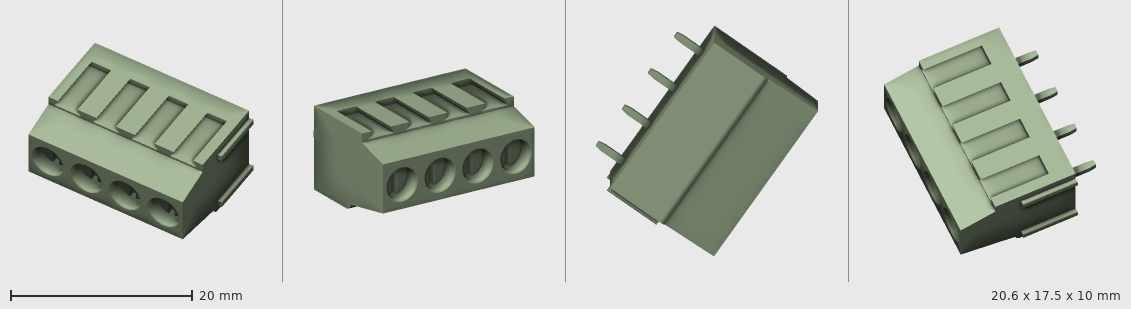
import cadquery as cq
import math


overall_width = 20.57
overall_depth = 17.5
height = 10.0

pole_count = 4
pitch = 5.0
housing_width = pole_count * pitch
housing_depth = 14.0
screw_face_bottom = 1.9
screw_face_top = 7.75
top_step_y = 4.22
top_step_height = 1.13
bottom_step_y = 6.66
bottom_step_height = 0.7

well_center_z = 4.81
well_radius = 1.93
well_depth = 1.67
rim_radius = 2.05
lead_in_radius = 1.95
rim_depth = 0.08
lead_in_depth = 0.47
screw_edge_radius = 0.23
slot_width = 0.82
slot_depth = 0.82

recess_top_width = 2.53
recess_floor_width = 3.33
recess_depth = 0.85
recess_end_wall = 2.67

pin_width = 0.82
pin_thickness = 0.82
pin_tip_width = 0.58
pin_tip_length = 0.82
pin_length = overall_depth - housing_depth

rib_heights = (1.21, 8.5)
rib_projection = overall_width - housing_width
rib_length = 6.65
rib_root_width = 0.62
rib_tip_width = 0.82
rib_tip_chamfer = 0.08

pole_centers = [(i + 0.5) * pitch for i in range(pole_count)]


def make_housing():
    """Side outline in the YZ plane, run along the full row of poles."""
    arc_center_y = bottom_step_y + bottom_step_height
    arc_offset = bottom_step_height * math.sqrt(0.5)
    outline = (
        cq.Workplane("YZ")
        .moveTo(0, screw_face_bottom)
        .lineTo(0, screw_face_top)
        .lineTo(top_step_y, height - top_step_height)
        .lineTo(top_step_y, height)
        .lineTo(housing_depth, height)
        .lineTo(housing_depth, 0)
        .lineTo(arc_center_y, 0)
        .threePointArc(
            (arc_center_y - arc_offset, bottom_step_height - arc_offset),
            (bottom_step_y, bottom_step_height),
        )
        .close()
    )
    return outline.extrude(housing_width)


def make_screw_well(x):
    """Slotted well to remove: chamfered rim, slight lead-in taper, rounded screw head at the floor."""
    edge_offset = screw_edge_radius * math.sqrt(0.5)
    edge_center_r = well_radius - screw_edge_radius
    edge_center_y = well_depth + screw_edge_radius
    well = (
        cq.Workplane("XY")
        .moveTo(0, 0)
        .lineTo(rim_radius, 0)
        .lineTo(lead_in_radius, rim_depth)
        .lineTo(well_radius, lead_in_depth)
        .lineTo(well_radius, edge_center_y)
        .threePointArc(
            (edge_center_r + edge_offset, edge_center_y - edge_offset),
            (edge_center_r, well_depth),
        )
        .lineTo(0, well_depth)
        .close()
        .revolve(360, (0, 0, 0), (0, 1, 0))
    )
    slot_end = well_depth + slot_depth
    slot = cq.Workplane("XZ").circle(well_radius).extrude(-slot_end)
    slot = slot.intersect(cq.Workplane("XZ").rect(slot_width, 2 * well_radius).extrude(-slot_end))
    return well.union(slot).translate((x, 0, well_center_z))


def make_recess(x):
    """Dovetail recess to remove, open at the top step and closed toward the pins."""
    floor_z = height - recess_depth
    length = housing_depth - recess_end_wall
    return (
        cq.Workplane("XZ")
        .polyline([
            (x - recess_floor_width / 2, floor_z),
            (x + recess_floor_width / 2, floor_z),
            (x + recess_top_width / 2, height),
            (x - recess_top_width / 2, height),
        ])
        .close()
        .extrude(-length)
    )


def make_pin(x):
    """Solder pin with its sides tapered toward the tip."""
    shoulder_y = pin_length - pin_tip_length
    return (
        cq.Workplane("XY")
        .polyline([
            (-pin_width / 2, 0),
            (pin_width / 2, 0),
            (pin_width / 2, shoulder_y),
            (pin_tip_width / 2, pin_length),
            (-pin_tip_width / 2, pin_length),
            (-pin_width / 2, shoulder_y),
        ])
        .close()
        .extrude(pin_thickness / 2, both=True)
        .translate((x, housing_depth, height / 2))
    )


def make_rib(z):
    """Rib that widens away from the housing, with bevelled outer corners."""
    bevel_x = rib_projection - rib_tip_chamfer
    flat_half = rib_tip_width / 2 - rib_tip_chamfer
    return (
        cq.Workplane("XZ")
        .polyline([
            (0, -rib_root_width / 2),
            (bevel_x, -rib_tip_width / 2),
            (rib_projection, -flat_half),
            (rib_projection, flat_half),
            (bevel_x, rib_tip_width / 2),
            (0, rib_root_width / 2),
        ])
        .close()
        .extrude(rib_length)
        .translate((housing_width, housing_depth, z))
    )


result = make_housing()
for center_x in pole_centers:
    result = result.cut(make_screw_well(center_x))
    result = result.cut(make_recess(center_x))
    result = result.union(make_pin(center_x))
for rib_z in rib_heights:
    result = result.union(make_rib(rib_z))